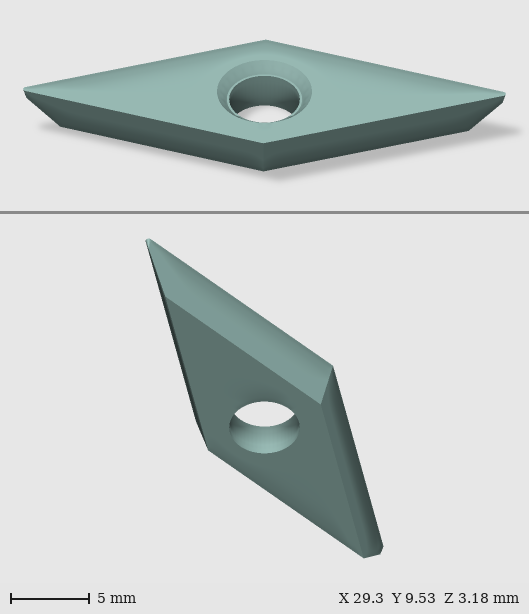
import cadquery as cq
import math

inscribed_circle = 9.525
thickness = 3.175
corner_angle = 35.0
relief_angle = 15.0
nose_radius = 0.2

seat_diameter = 6.05
ledge_diameter = 4.8
bore_diameter = 4.5
seat_depth = 0.66


def top_outline():
    """Rhombus around the inscribed circle with its two acute corners rounded."""
    half_width = inscribed_circle / 2
    half_corner = math.radians(corner_angle / 2)
    acute_x = half_width / math.tan(half_corner)
    obtuse_x = half_width * math.tan(half_corner)
    corners = [
        (-acute_x, -half_width),
        (obtuse_x, -half_width),
        (acute_x, half_width),
        (-obtuse_x, half_width),
    ]
    outline = cq.Sketch().polygon(corners + corners[:1])
    return outline.vertices("<X or >X").fillet(nose_radius)


def relieved_body():
    """Plate tapering downward; the rounded noses become cones that run out to sharp edges."""
    top_plane = cq.Workplane("XY").workplane(offset=thickness)
    return top_plane.placeSketch(top_outline()).extrude(-thickness, taper=relief_angle)


def screw_hole():
    """Tool volume of the through hole, revolved about Z."""
    ledge_height = thickness - seat_depth
    profile = (
        cq.Workplane("XZ")
        .moveTo(0, 0)
        .lineTo(bore_diameter / 2, 0)
        .lineTo(bore_diameter / 2, ledge_height)
        .lineTo(ledge_diameter / 2, ledge_height)
        .lineTo(seat_diameter / 2, thickness)
        .lineTo(0, thickness)
        .close()
    )
    return profile.revolve(360, (0, 0, 0), (0, 1, 0))


result = relieved_body().cut(screw_hole())